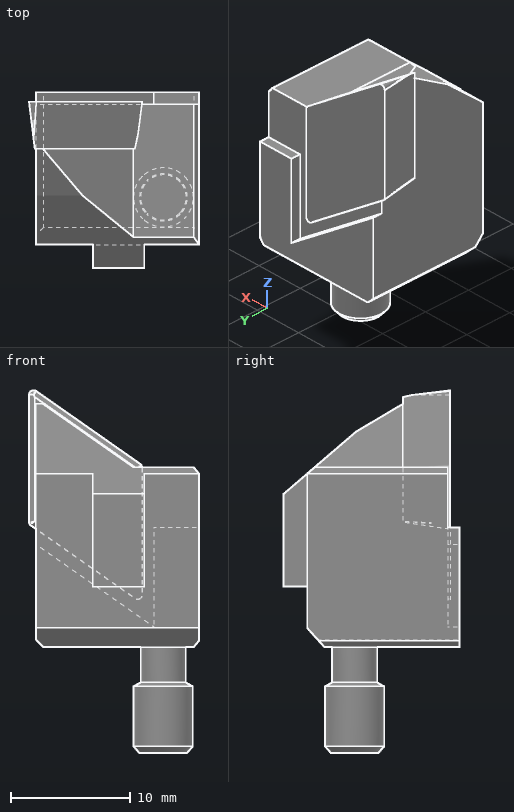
import cadquery as cq
import math

body_width = 13.72
body_depth = 12.8
body_height = 15.13

front_bevel_depth = 1.45
front_bevel_height = 1.62
front_top = 14.58
slope_break_y = 4.12
slope_break_z = 18.12
upper_slope = 0.594

right_bevel_width = 0.45
right_bevel_height = body_height - front_top
left_bevel = 0.65
ridge_foot_x = 8.2
ridge_angle = math.radians(35)
ridge_peak = body_height + ridge_foot_x * math.tan(ridge_angle)

key_left = 4.8
key_width = 4.33
key_bottom = 5.1
key_depth = 1.98

relief_front_y = 11.8
notch_left_z = 8.65
ledge_z = 10.05
notch_end_x = 9.9

insert_side = 11.62
insert_left = -0.58
insert_top = 21.6
insert_thickness = 3.95
insert_face_y = 12.02
insert_clearance = 7.0
nose_radius = 0.4

screw_x = 10.7
screw_y = 4.0
neck_diameter = 3.8
head_diameter = 5.0
head_end_diameter = 4.0
total_height = 30.5
screw_end = insert_top - total_height
screw_embed = 0.6
neck_end = -2.95
head_shoulder = -3.3
head_bevel_height = 0.58


def make_body():
    """Intersect the side outline and the front outline, key included."""
    lower_slope = (slope_break_z - front_top) / slope_break_y
    back_top = slope_break_z + upper_slope * (body_depth - slope_break_y)
    side = (
        cq.Workplane("YZ")
        .polyline([
            (front_bevel_depth, 0),
            (body_depth, 0),
            (body_depth, back_top),
            (slope_break_y, slope_break_z),
            (0, front_top),
            (0, front_bevel_height),
        ])
        .close()
        .extrude(body_width)
    )
    front = (
        cq.Workplane("XZ")
        .polyline([
            (left_bevel, 0),
            (body_width - right_bevel_width, 0),
            (body_width, right_bevel_height),
            (body_width, body_height - right_bevel_height),
            (body_width - right_bevel_width, body_height),
            (ridge_foot_x, body_height),
            (0, ridge_peak),
            (0, left_bevel),
        ])
        .close()
        .extrude(-body_depth)
    )
    key = (
        cq.Workplane("YZ")
        .workplane(offset=key_left)
        .polyline([
            (0, key_bottom),
            (0, front_top),
            (-key_depth, front_top - lower_slope * key_depth),
            (-key_depth, key_bottom),
        ])
        .close()
        .extrude(key_width)
    )
    return side.intersect(front).union(key)


def make_relief():
    """Material removed at the back, with a vertical wall where the notch ends."""
    notch_low_z = notch_left_z - notch_end_x * math.tan(ridge_angle)
    return (
        cq.Workplane("XZ", origin=(0, relief_front_y, 0))
        .polyline([
            (0, notch_left_z),
            (notch_end_x, notch_low_z),
            (notch_end_x, ledge_z),
            (body_width, ledge_z),
            (body_width, ridge_peak),
            (0, ridge_peak),
        ])
        .close()
        .extrude(relief_front_y - body_depth)
    )


def make_insert():
    """Rhombus with four rounded corners, its largest face turned to the back."""
    half_nose_angle = (math.pi / 2 - ridge_angle) / 2
    sharp_peak = insert_top - nose_radius + nose_radius / math.tan(half_nose_angle)
    right_x = insert_left + insert_side * math.cos(ridge_angle)
    side_drop = insert_side * math.sin(ridge_angle)
    outline = (
        cq.Sketch()
        .polygon([
            (insert_left, sharp_peak),
            (right_x, sharp_peak - side_drop),
            (right_x, sharp_peak - side_drop - insert_side),
            (insert_left, sharp_peak - insert_side),
            (insert_left, sharp_peak),
        ])
        .vertices()
        .fillet(nose_radius)
    )
    return (
        cq.Workplane("XZ", origin=(0, insert_face_y, 0))
        .placeSketch(outline)
        .extrude(insert_thickness, taper=insert_clearance)
    )


def make_screw():
    """Neck and bevelled head as one turned profile."""
    neck_radius = neck_diameter / 2
    head_radius = head_diameter / 2
    return (
        cq.Workplane("XZ", origin=(screw_x, screw_y, 0))
        .polyline([
            (0, screw_embed),
            (neck_radius, screw_embed),
            (neck_radius, neck_end),
            (head_radius, head_shoulder),
            (head_radius, screw_end + head_bevel_height),
            (head_end_diameter / 2, screw_end),
            (0, screw_end),
        ])
        .close()
        .revolve(360, (0, 0, 0), (0, 1, 0))
    )


result = make_body().cut(make_relief()).union(make_insert()).union(make_screw())